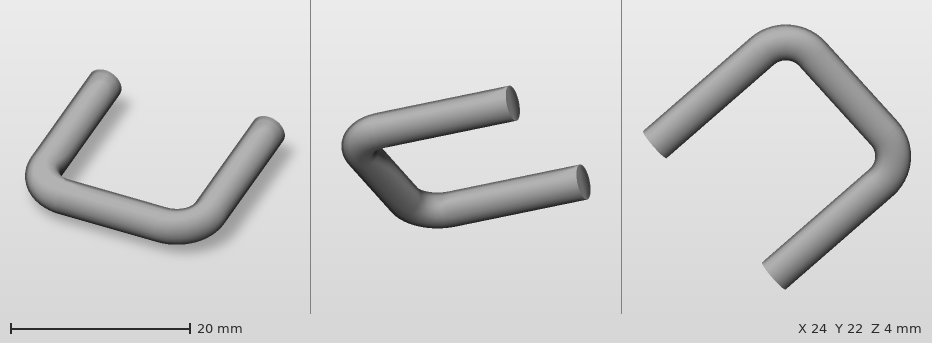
import cadquery as cq
import math

width = 24.0
depth = 22.0
rod_diameter = 4.0
outer_bend_radius = 6.0

rod_radius = rod_diameter / 2
bend_radius = outer_bend_radius - rod_radius
leg_x = width / 2 - rod_radius
bar_half_length = leg_x - bend_radius
leg_end_y = depth - rod_radius
bend_mid_offset = bend_radius * math.sin(math.radians(45))
bend_mid_x = bar_half_length + bend_mid_offset
bend_mid_y = bend_radius - bend_mid_offset

path = (
    cq.Workplane("XY")
    .moveTo(-leg_x, leg_end_y)
    .lineTo(-leg_x, bend_radius)
    .threePointArc((-bend_mid_x, bend_mid_y), (-bar_half_length, 0))
    .lineTo(bar_half_length, 0)
    .threePointArc((bend_mid_x, bend_mid_y), (leg_x, bend_radius))
    .lineTo(leg_x, leg_end_y)
)

result = (
    cq.Workplane("XZ", origin=(-leg_x, leg_end_y, 0))
    .circle(rod_radius)
    .sweep(path)
)